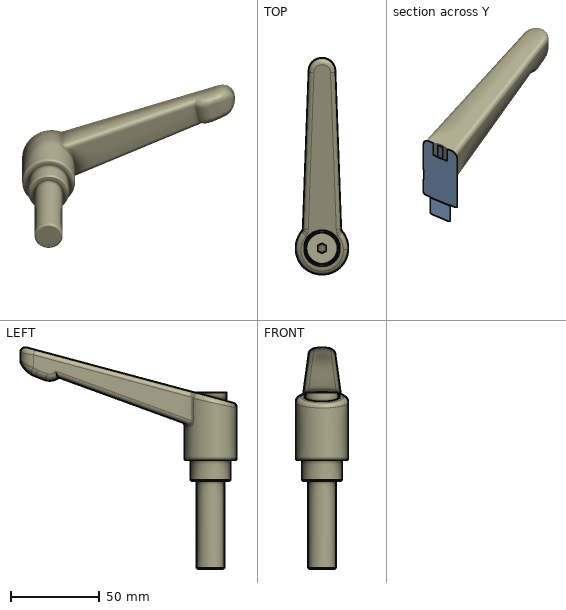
import cadquery as cq
import math

stud_diameter = 16.0
stud_length = 50.0
stud_chamfer = 1.0
collar_diameter = 23.0
collar_height = 11.7
collar_chamfer = 0.8

hub_radius = 15.0
hub_bottom_z = stud_length + collar_height
hub_bottom_fillet = 1.5

top_slope = math.tan(math.radians(15))
top_axis_z = 97.9
edge_fillet = 3.0

tip_radius = 7.7
tip_end_y = 108.0
tip_center_y = tip_end_y - tip_radius
arm_taper = math.radians(2.1)
arm_root_half_width = tip_radius / math.cos(arm_taper) + tip_center_y * math.tan(arm_taper)
arm_root_fillet = 1.5

underside_slope = math.tan(math.radians(20))
underside_axis_z = 77.3
bump_fillet = 4.0
bump_start_y = 86.0
bump_start_z = underside_axis_z + bump_start_y * underside_slope
bump_low_point = (90.5, 106.75)
bump_arc_end = (93.9, 107.2)
bump_slope_end = (99.4, 109.3)
tip_arc_middle = (104.3, 112.5)
profile_end_y = tip_end_y + 0.6
tip_arc_end = (profile_end_y, 119.5)

min_facing_z = 0.3
parallel_tolerance = 1e-3
root_zone_start_y = 5.0

screw_head_diameter = 18.4
screw_top_z = 100.5
screw_chamfer = 0.4
socket_across_flats = 5.0
socket_depth = 4.0
recess_diameter = 20.4
recess_floor_z = 92.0


def top_z(y):
    """Height of the sloping top plane at the given y."""
    return top_axis_z + y * top_slope


def make_insert():
    """Collar and stud in one piece; the lever stands on the collar."""
    collar = (
        cq.Workplane("XY", origin=(0, 0, stud_length))
        .circle(collar_diameter / 2)
        .extrude(collar_height)
        .faces("<Z")
        .chamfer(collar_chamfer)
    )
    stud = (
        cq.Workplane("XY")
        .circle(stud_diameter / 2)
        .extrude(stud_length)
        .faces("<Z")
        .chamfer(stud_chamfer)
    )
    return collar.union(stud)


def make_hub():
    """Cylinder cut off by the sloping top plane."""
    side = (
        cq.Workplane("YZ")
        .moveTo(-hub_radius, hub_bottom_z)
        .lineTo(hub_radius, hub_bottom_z)
        .lineTo(hub_radius, top_z(hub_radius))
        .lineTo(-hub_radius, top_z(-hub_radius))
        .close()
        .extrude(hub_radius, both=True)
    )
    cylinder = (
        cq.Workplane("XY", origin=(0, 0, hub_bottom_z))
        .circle(hub_radius)
        .extrude(top_z(hub_radius) - hub_bottom_z)
    )
    return cylinder.intersect(side)


def make_arm():
    """Side profile of the arm trimmed to its tapered, round-ended plan outline."""
    side = (
        cq.Workplane("YZ")
        .moveTo(0, underside_axis_z)
        .lineTo(bump_start_y, bump_start_z)
        .threePointArc(bump_low_point, bump_arc_end)
        .lineTo(*bump_slope_end)
        .threePointArc(tip_arc_middle, tip_arc_end)
        .lineTo(profile_end_y, top_z(profile_end_y))
        .lineTo(0, top_z(0))
        .close()
        .extrude(hub_radius, both=True)
    )
    tangent_x = tip_radius * math.cos(arm_taper)
    tangent_y = tip_center_y + tip_radius * math.sin(arm_taper)
    plan = (
        cq.Workplane("XY", origin=(0, 0, hub_bottom_z))
        .moveTo(-arm_root_half_width, 0)
        .lineTo(arm_root_half_width, 0)
        .lineTo(tangent_x, tangent_y)
        .threePointArc((0, tip_end_y), (-tangent_x, tangent_y))
        .close()
        .extrude(top_z(profile_end_y) - hub_bottom_z)
    )
    return side.intersect(plan)


def underside_rim(arm, on_bump):
    """Side edges of the arm's underside, either around the thumb bump or on the straight slope."""
    rim = []
    for face in arm.faces().vals():
        if face.normalAt().z < -min_facing_z:
            rim += [edge for edge in face.Edges() if not is_crosswise(edge)]
    chosen = [edge for edge in rim if (edge.Center().y > bump_start_y) == on_bump]
    return arm.newObject(chosen)


def is_crosswise(edge):
    """True for a straight edge that runs along X."""
    return edge.geomType() == "LINE" and abs(edge.tangentAt(0).x) > 1 - parallel_tolerance


def upper_rim(lever):
    """The edges around the sloping top plane."""
    normal = cq.Vector(0, -top_slope, 1)
    return lever.faces(cq.selectors.DirectionMinMaxSelector(normal, True)).edges()


def make_lever():
    """Hub and arm in one piece, with rounded rims and a recess for the screw head."""
    arm = make_arm()
    arm = underside_rim(arm, on_bump=False).fillet(edge_fillet)
    arm = underside_rim(arm, on_bump=True).fillet(bump_fillet)
    lever = make_hub().union(arm).clean()

    root_zone = cq.selectors.BoxSelector(
        (-hub_radius, root_zone_start_y, hub_bottom_z),
        (hub_radius, hub_radius, top_z(hub_radius)),
    )
    lever = lever.edges("|Z").edges(root_zone).fillet(arm_root_fillet)
    lever = upper_rim(lever).fillet(edge_fillet)
    lever = lever.faces("<Z").edges().fillet(hub_bottom_fillet)

    recess = (
        cq.Workplane("XY", origin=(0, 0, recess_floor_z))
        .circle(recess_diameter / 2)
        .extrude(top_z(hub_radius) - recess_floor_z)
    )
    return lever.cut(recess)


def make_screw():
    """Screw head standing on the recess floor, with a hexagon socket."""
    head = (
        cq.Workplane("XY", origin=(0, 0, recess_floor_z))
        .circle(screw_head_diameter / 2)
        .extrude(screw_top_z - recess_floor_z)
        .faces(">Z")
        .chamfer(screw_chamfer)
    )
    socket = (
        cq.Workplane("XY", origin=(0, 0, screw_top_z - socket_depth))
        .polygon(6, socket_across_flats, circumscribed=True)
        .extrude(socket_depth)
    )
    return head.cut(socket)


insert = make_insert()
lever = make_lever()
screw = make_screw()
result = cq.Compound.makeCompound([insert.val(), lever.val(), screw.val()])